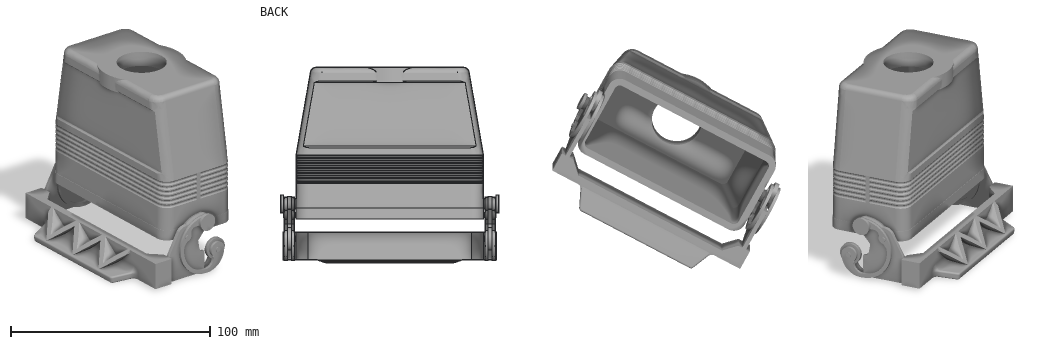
import cadquery as cq
import math


hood_length = 94.0
hood_width = 43.1
hood_height = 76.2
top_length = 78.8
shoulder_z = 32.5
corner_radius = 6.0
top_round = 3.0
wall = 3.3
rim_height = 5.5
rim_step = 0.16

boss_radius = 22.6
boss_height = 7.8
entry_radius = 12.6

panel_depth = 0.9
panel_bottom = 36.7
panel_top = hood_height - boss_height

groove_count = 6
groove_pitch = 2.5
groove_top_center = 31.3
groove_depth = 0.5
groove_opening = 1.9
groove_bridge = 2.2
groove_flank_angle = 40

pin_z = 7.7
pin_radius = 2.6
pin_head_radius = 4.5
pin_head_thickness = 1.5
overall_length = 109.5

lever_x = 50.4
lever_plate = 2.1
lever_thickness = 5.1
hub_radius = 3.4
plate_overhang = 0.3
spring_center = (0, -4.9)
spring_radius = 15.9
spring_width = 2.1
spring_inner = spring_radius - spring_width
plate_radius = spring_radius + plate_overhang
band_top_angle = 90
band_bottom_angle = 270
band_inner_end_angle = 170
plate_arc_end_angle = 128
scroll_center = (7.6, -9.9)
scroll_radius = 4.0
scroll_plate_radius = 5.6
rivet_center = (-11.6, 2.1)
rivet_radius = 1.3
rivet_height = 0.4

scroll_outer_mid = (8.7, -17.5)
hook_root = (5.0, -13.7)
hook_mid = (4.5, -16.0)
tab_foot = (-11.7, -0.2)
tab_foot_mid = (-9.6, 1.0)
tab_side = (-9.2, 3.3)
tab_top_mid = (-8.8, 5.5)
tab_top = (-7.0, 6.6)
shoulder_mid = (-13.1, 7.5)
shoulder_end = (-15.5, 5.7)
notch_lip = (0.4, -9.3)
notch_mid = (-2.0, -8.4)
notch_end = (-3.0, -6.8)
notch_peak = (-3.7, -2.4)
hub_side = (2.6, 4.9)

bar_length = 107.1
bar_top = -6.6
bar_bottom = -20.5
bar_front = -32.3
bar_back = -22.1
bar_web = 4.0
pad_length = 6.5

grip_tilt = 9
grip_thickness = 3.7
grip_reach = 11.4
grip_root_half = 37.1
grip_tip_half = 32.0
grip_corner = 1.6
grip_edge_round = 0.9
grip_root_fillet = 3.1

rib_count = 3
rib_pitch = 21.5
rib_slope = 0.88
rib_depth = 11.5
rib_end_half = 32.3
pocket_half = 9.4
pocket_root_depth = 7.2
pocket_tip_depth = 9.3


def rounded_block(length, width, radius, bottom, top):
    return (
        cq.Workplane("XY", origin=(0, 0, bottom))
        .rect(length, width)
        .extrude(top - bottom)
        .edges("|Z")
        .fillet(radius)
    )


def rounded_outline(length, width, radius):
    return cq.Sketch().rect(length, width).vertices().fillet(radius)


def tapered_block(bottom, top, inset, radius):
    """Upper hood volume, offset inward by inset, with sloping ends."""
    lower = rounded_outline(hood_length - 2 * inset, hood_width - 2 * inset, radius)
    upper = rounded_outline(top_length - 2 * inset, hood_width - 2 * inset, radius)
    return (
        cq.Workplane("XY", origin=(0, 0, bottom))
        .placeSketch(lower, upper.moved(cq.Location(cq.Vector(0, 0, top - bottom))))
        .loft(ruled=True)
    )


def panel_cut(side):
    """Long bevelled trough that leaves a rail above and a ledge below the panel."""
    face = side * (hood_width / 2 - panel_depth)
    beyond = side * (hood_width / 2 + panel_depth)
    flare = 2 * panel_depth
    outline = [
        (face, panel_bottom),
        (face, panel_top),
        (beyond, panel_top + flare),
        (beyond, panel_bottom - flare),
    ]
    return cq.Workplane("YZ").polyline(outline).close().extrude(hood_length / 2, both=True)


def groove_cut(center_z):
    """Ring with sloping flanks around the hood, interrupted at the middle of both ends."""
    margin = 4.4
    half = groove_opening / 2
    slab = cq.Workplane("XY").box(hood_length + margin, hood_width + margin, groove_opening)
    flank_height = groove_depth / math.tan(math.radians(groove_flank_angle))
    outline = rounded_outline(hood_length, hood_width, corner_radius)
    base = cq.Workplane("XY", origin=(0, 0, -half))
    below = base.placeSketch(outline).extrude(flank_height, taper=groove_flank_angle)
    above = below.mirror("XY")
    core = rounded_block(
        hood_length - 2 * groove_depth,
        hood_width - 2 * groove_depth,
        corner_radius - groove_depth,
        -half,
        half,
    )
    bridge = cq.Workplane("XY").box(hood_length + margin, groove_bridge, groove_opening)
    return slab.cut(core).cut(below).cut(above).cut(bridge).translate((0, 0, center_z))


def make_hood():
    lower = rounded_block(hood_length, hood_width, corner_radius, 0, shoulder_z)
    rim = rounded_block(hood_length + 2 * rim_step, hood_width + 2 * rim_step, corner_radius, 0, rim_height)
    upper = tapered_block(shoulder_z, hood_height, 0, corner_radius).faces(">Z").edges().fillet(top_round)
    for side in (-1, 1):
        upper = upper.cut(panel_cut(side))
    boss = cq.Workplane("XY", origin=(0, 0, panel_top)).circle(boss_radius).extrude(boss_height)
    hood = lower.union(rim).union(upper).union(boss)

    inner_radius = corner_radius - wall
    cavity_length = hood_length - 2 * wall
    cavity_width = hood_width - 2 * wall
    hood = hood.cut(rounded_block(cavity_length, cavity_width, inner_radius, 0, shoulder_z))
    below_boss = cq.Workplane("XY").box(hood_length, hood_width, 2 * panel_top)
    upper_cavity = tapered_block(shoulder_z, hood_height, wall, inner_radius).intersect(below_boss)
    hood = hood.cut(upper_cavity)
    hood = hood.cut(cq.Workplane("XY").circle(entry_radius).extrude(hood_height))
    for index in range(groove_count):
        hood = hood.cut(groove_cut(groove_top_center - index * groove_pitch))
    return hood


def lever_section(thickness):
    """Workplane across the lever, set so that extruding by thickness is centred on the lever."""
    return cq.Workplane("YZ", origin=(lever_x - thickness / 2, 0, 0))


def lever_disc(center, radius, thickness):
    return lever_section(thickness).center(*center).circle(radius).extrude(thickness)


def on_spring(radius, angle):
    turn = math.radians(angle)
    return (spring_center[0] + radius * math.cos(turn), spring_center[1] + radius * math.sin(turn))


def make_spring():
    """Pair of hooked bands, one on each side of the plate, from the hub around into the scroll."""
    scroll_y, scroll_z = scroll_center
    scroll_edge = scroll_y + scroll_radius
    outer_mid = on_spring(spring_radius, (band_top_angle + band_bottom_angle) / 2)
    inner_mid = on_spring(spring_inner, (band_bottom_angle + band_inner_end_angle) / 2)
    band = (
        lever_section(lever_thickness)
        .moveTo(*on_spring(spring_radius, band_top_angle))
        .threePointArc(outer_mid, on_spring(spring_radius, band_bottom_angle))
        .threePointArc(scroll_outer_mid, (scroll_edge, scroll_z))
        .lineTo(scroll_y, scroll_z)
        .lineTo(*hook_root)
        .threePointArc(hook_mid, on_spring(spring_inner, band_bottom_angle))
        .threePointArc(inner_mid, on_spring(spring_inner, band_inner_end_angle))
        .lineTo(*tab_foot)
        .threePointArc(tab_foot_mid, tab_side)
        .threePointArc(tab_top_mid, tab_top)
        .lineTo(0, tab_top[1])
        .close()
        .extrude(lever_thickness)
    )
    hub = lever_disc((0, pin_z), hub_radius, lever_thickness)
    scroll = lever_disc(scroll_center, scroll_radius, lever_thickness)
    plate_space = lever_section(lever_plate).rect(overall_length, overall_length).extrude(lever_plate)
    return band.union(hub).union(scroll).cut(plate_space)


def make_lever_plate():
    """Thin plate between the bands that ties the hub to the cross bar."""
    arc_mid = on_spring(plate_radius, (band_top_angle + plate_arc_end_angle) / 2)
    plate = (
        lever_section(lever_plate)
        .moveTo(*on_spring(plate_radius, band_top_angle))
        .threePointArc(arc_mid, on_spring(plate_radius, plate_arc_end_angle))
        .threePointArc(shoulder_mid, shoulder_end)
        .lineTo(bar_back, bar_top)
        .lineTo(bar_back, bar_bottom)
        .lineTo(0, bar_bottom)
        .lineTo(*notch_lip)
        .threePointArc(notch_mid, notch_end)
        .lineTo(*notch_peak)
        .lineTo(*hub_side)
        .close()
        .extrude(lever_plate)
    )
    hub = lever_disc((0, pin_z), hub_radius + plate_overhang, lever_plate)
    scroll = lever_disc(scroll_center, scroll_plate_radius, lever_plate)
    return plate.union(hub).union(scroll)


def make_lever():
    lever = make_spring().union(make_lever_plate())
    for center in (rivet_center, scroll_center):
        lever = lever.union(lever_disc(center, rivet_radius, lever_thickness + 2 * rivet_height))
    return lever


def make_pin():
    """Headed pin that carries the lever on the hood end wall."""
    root = hood_length / 2 - wall / 2
    tip = overall_length / 2
    shaft = cq.Workplane("YZ", origin=(root, 0, pin_z)).circle(pin_radius).extrude(tip - root)
    head = (
        cq.Workplane("YZ", origin=(tip - pin_head_thickness, 0, pin_z))
        .circle(pin_head_radius)
        .extrude(pin_head_thickness)
    )
    return shaft.union(head)


def make_bar():
    """Cross bar with thick end pads that bevel at 45 degrees into the thinner web."""
    end = bar_length / 2
    pad_start = end - pad_length
    web_back = bar_front + bar_web
    web_end = pad_start - (bar_back - web_back)
    outline = [
        (-end, bar_front),
        (end, bar_front),
        (end, bar_back),
        (pad_start, bar_back),
        (web_end, web_back),
        (-web_end, web_back),
        (-pad_start, bar_back),
        (-end, bar_back),
    ]
    return (
        cq.Workplane("XY", origin=(0, 0, bar_bottom))
        .polyline(outline)
        .close()
        .extrude(bar_top - bar_bottom)
    )


def make_grip():
    """Tapering plate that tilts down and away from the lower front edge of the bar."""
    embed = 1.1
    embed_half = grip_root_half + embed * (grip_root_half - grip_tip_half) / grip_reach
    outline = [
        (-embed_half, embed),
        (-grip_tip_half, -grip_reach),
        (grip_tip_half, -grip_reach),
        (embed_half, embed),
    ]
    plate = cq.Workplane("XY").polyline(outline).close().extrude(grip_thickness)
    plate = plate.edges("|Z and <Y").fillet(grip_corner)
    plate = plate.faces("<Z or >Z").edges("not >Y").fillet(grip_edge_round)
    plate = plate.rotate((0, 0, 0), (1, 0, 0), grip_tilt)
    return plate.translate((0, bar_front, bar_bottom))


def make_grip_blend(grip):
    """Grip whose root flares out against the front of the bar, kept above the underside of the bar."""
    backing_depth = 5.5
    backing_center = (bar_top + bar_bottom) / 2
    backing_height = 2 * (bar_top - bar_bottom)
    backing = cq.Workplane("XY").box(bar_length, backing_depth, backing_height)
    backing = backing.translate((0, bar_front + backing_depth / 2, backing_center))
    tolerance = 0.1
    root_bottom = backing_center - backing_height / 2 + tolerance
    root_zone = cq.selectors.BoxSelector(
        (-bar_length / 2 + tolerance, bar_front - tolerance, root_bottom),
        (bar_length / 2 - tolerance, bar_front + tolerance, bar_top),
        boundingbox=True,
    )
    flared = backing.union(grip).edges(root_zone).fillet(grip_root_fillet).cut(backing)
    underside = cq.Workplane("XY", origin=(0, 0, bar_bottom))
    return flared.intersect(underside.rect(bar_length, bar_length).extrude(-bar_bottom))


def rib_pocket(center_x):
    """V-shaped hollow whose valley falls away from the bar."""
    def section(depth):
        return [(center_x - pocket_half, 0), (center_x + pocket_half, 0), (center_x, -depth)]

    return (
        cq.Workplane("XZ", origin=(0, bar_front, bar_top))
        .polyline(section(pocket_root_depth))
        .close()
        .workplane(offset=rib_depth)
        .polyline(section(pocket_tip_depth))
        .close()
        .loft(ruled=True)
    )


def make_ribs():
    """Zigzag wall cut off by a 45 degree plane that falls from the top edge of the bar."""
    peak_depth = rib_depth - rib_slope * rib_pitch / 2
    end_depth = rib_depth - rib_slope * (rib_end_half - rib_pitch)
    centers = [(index - (rib_count - 1) / 2) * rib_pitch for index in range(rib_count)]
    zigzag = [(-rib_end_half, 0), (-rib_end_half, -end_depth)]
    for center in centers:
        zigzag.append((center, -rib_depth))
        if center != centers[-1]:
            zigzag.append((center + rib_pitch / 2, -peak_depth))
    zigzag += [(rib_end_half, -end_depth), (rib_end_half, 0)]
    ribs = (
        cq.Workplane("XZ", origin=(0, bar_front, bar_top))
        .polyline(zigzag)
        .close()
        .extrude(rib_depth)
    )
    slope = (
        cq.Workplane("YZ", origin=(0, bar_front, bar_top))
        .polyline([(0, 0), (-rib_depth, -rib_depth), (0, -rib_depth)])
        .close()
        .extrude(rib_end_half, both=True)
    )
    ribs = ribs.intersect(slope)
    for center in centers:
        ribs = ribs.cut(rib_pocket(center))
    return ribs


result = make_hood()
for part in (make_lever(), make_pin()):
    result = result.union(part).union(part.mirror("YZ"))
grip = make_grip()
result = result.union(make_bar()).union(grip).union(make_grip_blend(grip)).union(make_ribs())